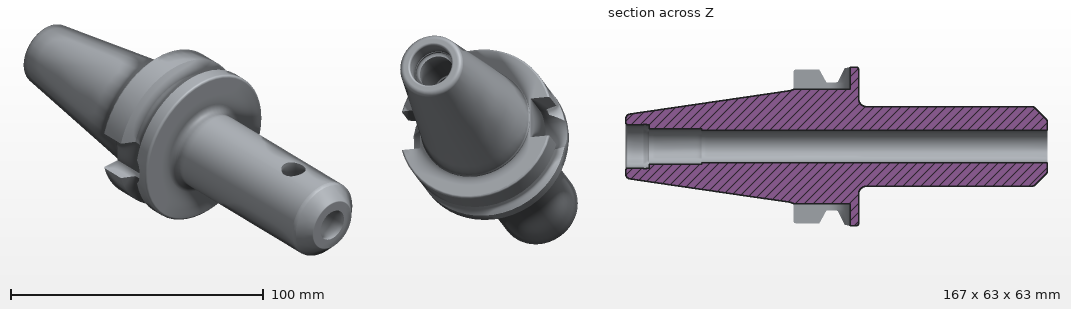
import cadquery as cq
import math

total_length = 167.0

gauge_diameter = 44.5
taper_length = 65.3
taper_ratio = 7 / 24
taper_start_radius = (gauge_diameter - taper_ratio * taper_length) / 2
taper_nose_round = 2.0

collar_radius = 22.5
collar_bevel_length = 0.7
flange_start = 66.5
flange_end = 92.4
flange_radius = 63.0 / 2
flange_front_round = 0.8
flange_rear_round = 1.0
groove_center = 81.75
groove_width = 10.0
groove_bottom_radius = 26.5
groove_flank_angle = 30
groove_flank_run = (flange_radius - groove_bottom_radius) * math.tan(math.radians(groove_flank_angle))

slot_width = 16.4
slot_end = 88.8
slot_floor = 22.7

shank_radius = 31.7 / 2
shank_root_round = 3.0
shank_tip_length = 5.3
shank_tip_radius = 10.4
shank_tip_round = 2.0
shank_end_round = 0.5

counterbore_radius = 17.0 / 2
counterbore_depth = 9.4
mouth_round = 0.8
relief_radius = 17.5 / 2
relief_start = 7.2
relief_width = 1.2
thread_radius = 14.0 / 2
thread_end = 30.0
through_radius = 12.7 / 2

screw_hole_diameter = 9.7
screw_hole_position = 144.5


def revolve_about_x(outline):
    """Revolve a closed (x, radius) outline a full turn about the X axis."""
    return outline.close().revolve(360, (0, 0, 0), (1, 0, 0))


def round_edge_at(body, x, radius, fillet):
    """Fillet the circular edge around the X axis with the given position and radius."""
    probe = 0.02
    ring = cq.selectors.BoxSelector(
        (x - probe, -radius - probe, -radius - probe),
        (x + probe, radius + probe, radius + probe),
        boundingbox=True,
    )
    return body.edges(ring).edges(cq.selectors.LengthNthSelector(-1)).fillet(fillet)


def make_body():
    groove_start = groove_center - groove_width / 2
    groove_end = groove_center + groove_width / 2
    outline = (
        cq.Workplane("XY")
        .moveTo(0, 0)
        .lineTo(0, taper_start_radius)
        .lineTo(taper_length, gauge_diameter / 2)
        .lineTo(taper_length + collar_bevel_length, collar_radius)
        .lineTo(flange_start, collar_radius)
        .lineTo(flange_start, flange_radius)
        .lineTo(groove_start, flange_radius)
        .lineTo(groove_start + groove_flank_run, groove_bottom_radius)
        .lineTo(groove_end - groove_flank_run, groove_bottom_radius)
        .lineTo(groove_end, flange_radius)
        .lineTo(flange_end, flange_radius)
        .lineTo(flange_end, shank_radius)
        .lineTo(total_length - shank_tip_length, shank_radius)
        .lineTo(total_length, shank_tip_radius)
        .lineTo(total_length, 0)
    )
    body = revolve_about_x(outline)
    body = round_edge_at(body, 0, taper_start_radius, taper_nose_round)
    body = round_edge_at(body, flange_start, flange_radius, flange_front_round)
    body = round_edge_at(body, flange_end, flange_radius, flange_rear_round)
    body = round_edge_at(body, flange_end, shank_radius, shank_root_round)
    body = round_edge_at(body, total_length - shank_tip_length, shank_radius, shank_tip_round)
    return round_edge_at(body, total_length, shank_tip_radius, shank_end_round)


def make_drive_slot(side):
    """Round-ended slot cutter on the +Y (side = 1) or -Y (side = -1) side of the flange."""
    arc_center = slot_end - slot_width / 2
    return (
        cq.Workplane("XZ", origin=(0, side * slot_floor, 0))
        .moveTo(flange_start, -slot_width / 2)
        .lineTo(arc_center, -slot_width / 2)
        .threePointArc((slot_end, 0), (arc_center, slot_width / 2))
        .lineTo(flange_start, slot_width / 2)
        .close()
        .extrude(-side * flange_radius)
    )


def make_bore():
    return revolve_about_x(
        cq.Workplane("XY")
        .moveTo(0, 0)
        .lineTo(0, counterbore_radius)
        .lineTo(relief_start, counterbore_radius)
        .lineTo(relief_start, relief_radius)
        .lineTo(relief_start + relief_width, relief_radius)
        .lineTo(relief_start + relief_width, counterbore_radius)
        .lineTo(counterbore_depth, counterbore_radius)
        .lineTo(counterbore_depth, thread_radius)
        .lineTo(thread_end, thread_radius)
        .lineTo(thread_end, through_radius)
        .lineTo(total_length, through_radius)
        .lineTo(total_length, 0)
    )


def make_screw_hole():
    """Radial hole from the top of the shank down into the bore."""
    return (
        cq.Workplane("XY", origin=(screw_hole_position, 0, 0))
        .circle(screw_hole_diameter / 2)
        .extrude(shank_radius)
    )


result = make_body().cut(make_bore())
result = round_edge_at(result, 0, counterbore_radius, mouth_round)
for slot_side in (1, -1):
    result = result.cut(make_drive_slot(slot_side))
result = result.cut(make_screw_hole())